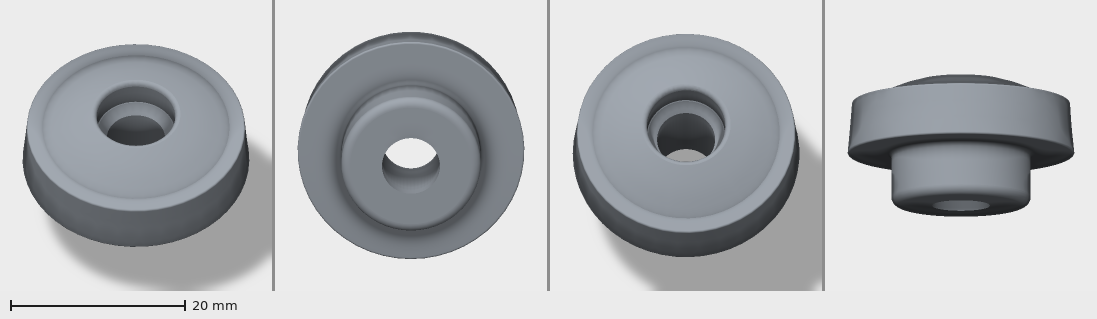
import cadquery as cq
import math

flange_bottom = 6.0
flange_top = 12.0
cutter_top = 18.2

edge_search = 0.03

stem_radius = 16.0 / 2
stem_edge_fillet = 1.01
stem_root_fillet = 0.5

flange_bottom_radius = 13.03
flange_top_radius = 12.5
flange_edge_fillet = 0.2

dome_base_radius = 10.75
dome_sphere_radius = 20.77

hole_radius = 6.65 / 2
counterbore_radius = 9.0 / 2
counterbore_floor = 11.18
mouth_fillet = 0.5
seat_top_radius = 4.37
seat_height = seat_top_radius - hole_radius


def make_stem():
    """Cylindrical stem with a rounded lower edge."""
    stem = cq.Workplane("XY").circle(stem_radius).extrude(flange_top)
    return stem.faces("<Z").edges().fillet(stem_edge_fillet)


def make_flange():
    """Cone frustum, widest at its bottom, with softened rims."""
    profile = [
        (0, flange_bottom),
        (flange_bottom_radius, flange_bottom),
        (flange_top_radius, flange_top),
        (0, flange_top),
    ]
    flange = cq.Workplane("XZ").polyline(profile).close().revolve(360, (0, 0), (0, 1))
    return flange.edges("%CIRCLE").fillet(flange_edge_fillet)


def make_dome():
    """Spherical cap standing on the flange."""
    sphere_center = flange_top - math.sqrt(dome_sphere_radius**2 - dome_base_radius**2)
    sphere = cq.Workplane("XY").sphere(dome_sphere_radius).translate((0, 0, sphere_center))
    column = (
        cq.Workplane("XY")
        .workplane(offset=flange_top)
        .circle(dome_base_radius)
        .extrude(cutter_top - flange_top)
    )
    return column.intersect(sphere)


def make_bore():
    """Through hole, conical seat, narrow ledge and counterbore."""
    seat_bottom = counterbore_floor - seat_height
    profile = [
        (0, 0),
        (hole_radius, 0),
        (hole_radius, seat_bottom),
        (seat_top_radius, counterbore_floor),
        (counterbore_radius, counterbore_floor),
        (counterbore_radius, cutter_top),
        (0, cutter_top),
    ]
    return cq.Workplane("XZ").polyline(profile).close().revolve(360, (0, 0), (0, 1))


def circles_between(low, high):
    """Select circular edges whose centers lie between two heights."""
    return cq.selectors.BoxSelector((-0.25, -0.25, low), (0.25, 0.25, high))


smallest = cq.selectors.RadiusNthSelector(0)

body = make_stem().union(make_flange())
root_edge = circles_between(flange_bottom - edge_search, flange_bottom + edge_search)
body = body.edges(root_edge).edges(smallest).fillet(stem_root_fillet)

body = body.union(make_dome()).cut(make_bore())
mouth_edge = circles_between(flange_top + edge_search, cutter_top)
result = body.edges(mouth_edge).edges(smallest).fillet(mouth_fillet)